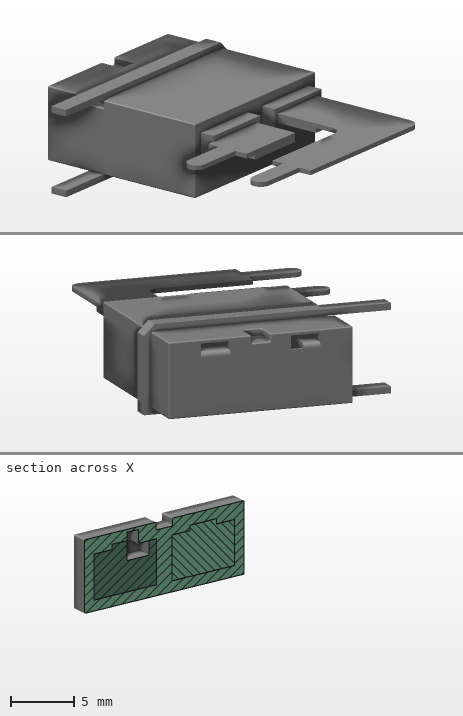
import cadquery as cq


HOUSING_X = 14.7
HOUSING_Y = 15.5
HOUSING_Z = 6.2
EDGE_RADIUS = 0.1
RECESS_WIDTH = 1.57
RECESS_DEPTH = 0.65
KEY_SLOT_LENGTH = 2.02

PIN_LENGTH = 4.75

CLIP_WIDTH = 1.45
CLIP_THICKNESS = 0.55
CLIP_X = 4.1
CLIP_CHAMFER = 0.9
CLIP_NOTCH_LENGTH = 0.65

INSERT_WIDTH = 6.0
INSERT_HEIGHT = 3.8
INSERT_DEPTH = 1.83
INSERT_MARGIN = 0.97
INSERT_TOP = HOUSING_Z - 1.45
INSERT_CENTERS = [
    INSERT_MARGIN + INSERT_WIDTH / 2,
    HOUSING_Y - INSERT_MARGIN - INSERT_WIDTH / 2,
]

WINDOW_WIDTH = 2.5
WINDOW_DEPTH = 1.3
WINDOW_TOP = HOUSING_Z - 0.3
TONGUE_LENGTH = 1.57
TONGUE_HEIGHT = 0.45
NOSE_RADIUS = 0.42
NARROW_TONGUE_WIDTH = 1.45
TONGUE_WIDTHS = [NARROW_TONGUE_WIDTH, WINDOW_WIDTH]

LIP = 0.3
HOLLOW_WIDTH = 2.1
HOLLOW_DROP = 1.18

BLOCK_LENGTH = 1.25
BLOCK_GAP = 0.08
BLOCK_WIDTH = 6.0
BLOCK_HEIGHT = 2.0
BLOCK_TOP = HOUSING_Z - 0.86
CONTACT_PITCH = 7.85
FAR_CONTACT_Y = 11.53
CONTACT_CENTERS = [FAR_CONTACT_Y - CONTACT_PITCH, FAR_CONTACT_Y]
TAB_WIDTH = 5.15
TAB_LENGTH = 3.8

SHEET = 0.4
SHEET_BOTTOM = HOUSING_Z - 1.73
BLOCK_START = HOUSING_X + BLOCK_GAP
BLOCK_END = BLOCK_START + BLOCK_LENGTH
TERMINAL_END = 26.2
LEG_WIDTH = TAB_LENGTH
BEND_RADIUS = 1.0
PIN_WIDTH = 1.62
PIN_OFFSET = 1.05


def box(x, y, z, x_size, y_size, z_size):
    """Box with its lowest corner at (x, y, z)."""
    return cq.Workplane("XY").box(x_size, y_size, z_size, centered=False).translate((x, y, z))


def window_side(y_center):
    """Y of the window side where every tongue starts."""
    return y_center - WINDOW_WIDTH / 2


def make_tongue(y_center, width):
    return (
        cq.Workplane("XZ", origin=(0, window_side(y_center), INSERT_TOP))
        .lineTo(0, TONGUE_HEIGHT - NOSE_RADIUS)
        .radiusArc((NOSE_RADIUS, TONGUE_HEIGHT), NOSE_RADIUS)
        .lineTo(TONGUE_LENGTH, TONGUE_HEIGHT)
        .lineTo(TONGUE_LENGTH, 0)
        .close()
        .extrude(-width)
    )


def cut_socket(body, y_center, tongue_width):
    """Cut the seat of one insert and the window above it."""
    height = WINDOW_TOP - INSERT_TOP
    start = window_side(y_center)
    body = body.cut(box(0, start, INSERT_TOP, WINDOW_DEPTH, tongue_width, height))
    gap = WINDOW_WIDTH - tongue_width
    if gap > 0:
        body = body.cut(box(0, start + tongue_width, INSERT_TOP, TONGUE_LENGTH, gap, height))
    return body.cut(insert_block(y_center)).cut(make_tongue(y_center, tongue_width))


def insert_block(y_center):
    return box(
        0,
        y_center - INSERT_WIDTH / 2,
        INSERT_TOP - INSERT_HEIGHT,
        INSERT_DEPTH,
        INSERT_WIDTH,
        INSERT_HEIGHT,
    )


def make_housing():
    body = box(0, 0, 0, HOUSING_X, HOUSING_Y, HOUSING_Z)
    recess_floor = HOUSING_Z - RECESS_DEPTH
    notch_x = CLIP_X + (CLIP_WIDTH - RECESS_WIDTH) / 2
    for y in (0, HOUSING_Y - CLIP_NOTCH_LENGTH):
        body = body.cut(box(notch_x, y, recess_floor, RECESS_WIDTH, CLIP_NOTCH_LENGTH, RECESS_DEPTH))
    slot_y = (HOUSING_Y - RECESS_WIDTH) / 2
    body = body.cut(box(0, slot_y, recess_floor, KEY_SLOT_LENGTH, RECESS_WIDTH, RECESS_DEPTH))
    body = body.edges().fillet(EDGE_RADIUS)
    for y_center, tongue_width in zip(INSERT_CENTERS, TONGUE_WIDTHS):
        body = cut_socket(body, y_center, tongue_width)
    return body


def make_clip():
    back = HOUSING_Y + CLIP_THICKNESS
    bottom = -CLIP_THICKNESS
    top = HOUSING_Z + CLIP_THICKNESS
    return (
        cq.Workplane("YZ", origin=(CLIP_X, 0, 0))
        .moveTo(-PIN_LENGTH, bottom)
        .lineTo(back, bottom)
        .lineTo(back, top - CLIP_CHAMFER)
        .lineTo(back - CLIP_CHAMFER, top)
        .lineTo(-PIN_LENGTH, top)
        .lineTo(-PIN_LENGTH, HOUSING_Z)
        .lineTo(HOUSING_Y, HOUSING_Z)
        .lineTo(HOUSING_Y, 0)
        .lineTo(-PIN_LENGTH, 0)
        .close()
        .extrude(CLIP_WIDTH)
    )


def make_insert(y_center, tongue_width):
    body = insert_block(y_center).union(make_tongue(y_center, tongue_width))
    if tongue_width < WINDOW_WIDTH:
        hollow = box(
            LIP,
            window_side(y_center) + tongue_width,
            INSERT_TOP - HOLLOW_DROP,
            TONGUE_LENGTH - LIP,
            HOLLOW_WIDTH,
            HOLLOW_DROP,
        )
        body = body.cut(hollow)
    return body


def make_contact(y_center):
    block = box(
        BLOCK_START,
        y_center - BLOCK_WIDTH / 2,
        BLOCK_TOP - BLOCK_HEIGHT,
        BLOCK_LENGTH,
        BLOCK_WIDTH,
        BLOCK_HEIGHT,
    )
    tab = box(BLOCK_END, y_center - TAB_WIDTH / 2, SHEET_BOTTOM - SHEET, TAB_LENGTH, TAB_WIDTH, SHEET)
    return block.union(tab)


def terminal_pin(leg_x):
    """Round-ended pin running from the foot of a leg in the -Y direction."""
    left = leg_x + PIN_OFFSET
    right = left + PIN_WIDTH
    round_start = PIN_WIDTH / 2 - PIN_LENGTH
    return (
        cq.Workplane("XY", origin=(0, 0, SHEET_BOTTOM))
        .moveTo(left, 0)
        .lineTo(left, round_start)
        .threePointArc((left + PIN_WIDTH / 2, -PIN_LENGTH), (right, round_start))
        .lineTo(right, 0)
        .close()
        .extrude(SHEET)
    )


def make_short_terminal():
    top_y = CONTACT_CENTERS[0] + TAB_WIDTH / 2
    plate = box(BLOCK_END, 0, SHEET_BOTTOM, LEG_WIDTH, top_y, SHEET)
    return plate.union(terminal_pin(BLOCK_END))


def make_long_terminal():
    leg_x = TERMINAL_END - LEG_WIDTH
    arm_low = CONTACT_CENTERS[1] - TAB_WIDTH / 2
    arm_high = CONTACT_CENTERS[1] + TAB_WIDTH / 2
    plate = (
        cq.Workplane("XY", origin=(0, 0, SHEET_BOTTOM))
        .moveTo(leg_x, 0)
        .lineTo(TERMINAL_END, 0)
        .lineTo(TERMINAL_END, arm_high - BEND_RADIUS)
        .radiusArc((TERMINAL_END - BEND_RADIUS, arm_high), -BEND_RADIUS)
        .lineTo(BLOCK_END, arm_high)
        .lineTo(BLOCK_END, arm_low)
        .lineTo(leg_x - BEND_RADIUS, arm_low)
        .radiusArc((leg_x, arm_low - BEND_RADIUS), BEND_RADIUS)
        .close()
        .extrude(SHEET)
    )
    return plate.union(terminal_pin(leg_x))


housing = make_housing()
clip = make_clip()
inserts = [make_insert(y, width) for y, width in zip(INSERT_CENTERS, TONGUE_WIDTHS)]
contacts = [make_contact(y) for y in CONTACT_CENTERS]
short_terminal = make_short_terminal()
long_terminal = make_long_terminal()

result = cq.Compound.makeCompound(
    [
        housing.val(),
        clip.val(),
        *[insert.val() for insert in inserts],
        *[contact.val() for contact in contacts],
        short_terminal.val(),
        long_terminal.val(),
    ]
)